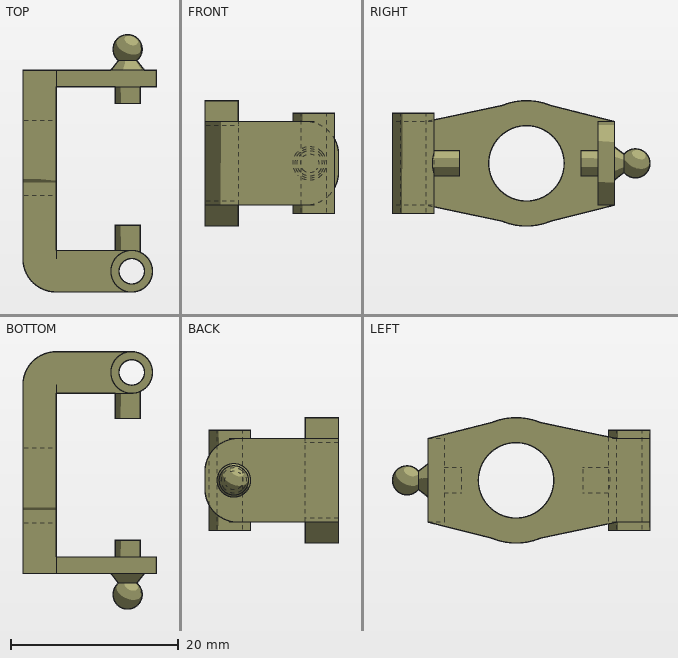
import cadquery as cq
import math

plate_thickness = 4.0
plate_y_max = 10.5
plate_y_min = -12.0
end_height = 10.0
crown_radius = 7.5
crown_half_width = 2.92
bore_radius = 4.5

stud_arm_length = 16.0
stud_arm_thickness = 2.0
corner_radius = 4.0

pin_x = 12.5
pin_radius = 1.5
stud_pin_length = 2.0
hinge_pin_length = 3.0
pin_embed = 0.6

ball_radius = 1.75
ball_y = 13.0
neck_base_radius = 2.0
neck_tip_radius = 1.1
neck_tip_y = ball_y - math.sqrt(ball_radius**2 - neck_tip_radius**2)

hinge_x = 13.0
hinge_radius = 2.5
hinge_hole_radius = 1.5
hinge_height = 12.0
hinge_arm_y_min = -16.0
hinge_y = hinge_arm_y_min + hinge_radius
hinge_arm_y_max = hinge_y + hinge_radius


def y_cylinder(radius, y_start, y_end):
    """Cylinder along Y on the pin axis."""
    return (
        cq.Workplane("XZ", origin=(pin_x, y_start, 0))
        .circle(radius)
        .extrude(y_start - y_end)
    )


def make_plate():
    """Plate tapering from an arc crown, top and bottom, to its two ends."""
    half_end = end_height / 2
    crown_edge_z = math.sqrt(crown_radius**2 - crown_half_width**2)
    return (
        cq.Workplane("YZ")
        .moveTo(plate_y_min, -half_end)
        .lineTo(-crown_half_width, -crown_edge_z)
        .threePointArc((0, -crown_radius), (crown_half_width, -crown_edge_z))
        .lineTo(plate_y_max, -half_end)
        .lineTo(plate_y_max, half_end)
        .lineTo(crown_half_width, crown_edge_z)
        .threePointArc((0, crown_radius), (-crown_half_width, crown_edge_z))
        .lineTo(plate_y_min, half_end)
        .close()
        .extrude(plate_thickness)
    )


def make_stud_arm():
    """Thin arm with its two free corners rounded."""
    return (
        cq.Workplane("XY")
        .box(stud_arm_length, stud_arm_thickness, end_height, centered=(False, False, True))
        .translate((0, plate_y_max - stud_arm_thickness, 0))
        .edges("|Y and >X")
        .fillet(corner_radius)
    )


def make_ball_stud():
    """Conical neck and ball, revolved about the pin axis."""
    neck = (
        cq.Workplane("XY", origin=(pin_x, 0, 0))
        .moveTo(0, plate_y_max)
        .lineTo(neck_base_radius, plate_y_max)
        .lineTo(neck_tip_radius, neck_tip_y)
        .lineTo(0, neck_tip_y)
        .close()
        .revolve(360, (0, 0, 0), (0, 1, 0))
    )
    ball = cq.Workplane("XY", origin=(pin_x, ball_y, 0)).sphere(ball_radius)
    return neck.union(ball)


def make_hinge_arm():
    """Thick arm with a rounded outer corner and a taller barrel at its end."""
    arm = (
        cq.Workplane("XY")
        .box(hinge_x, hinge_arm_y_max - hinge_arm_y_min, end_height, centered=(False, False, True))
        .translate((0, hinge_arm_y_min, 0))
        .edges("|Z and <X and <Y")
        .fillet(corner_radius)
    )
    barrel = (
        cq.Workplane("XY", origin=(hinge_x, hinge_y, -hinge_height / 2))
        .circle(hinge_radius)
        .extrude(hinge_height)
    )
    return arm.union(barrel)


stud_arm_inner_y = plate_y_max - stud_arm_thickness
stud_pin = y_cylinder(pin_radius, stud_arm_inner_y - stud_pin_length, stud_arm_inner_y + pin_embed)
hinge_pin = y_cylinder(pin_radius, hinge_arm_y_max - pin_embed, hinge_arm_y_max + hinge_pin_length)

bore = cq.Workplane("YZ").circle(bore_radius).extrude(plate_thickness)
hinge_hole = (
    cq.Workplane("XY", origin=(hinge_x, hinge_y, -hinge_height / 2))
    .circle(hinge_hole_radius)
    .extrude(hinge_height)
)

result = (
    make_plate()
    .union(make_stud_arm())
    .union(make_ball_stud())
    .union(make_hinge_arm())
    .union(stud_pin)
    .union(hinge_pin)
    .cut(bore)
    .cut(hinge_hole)
)